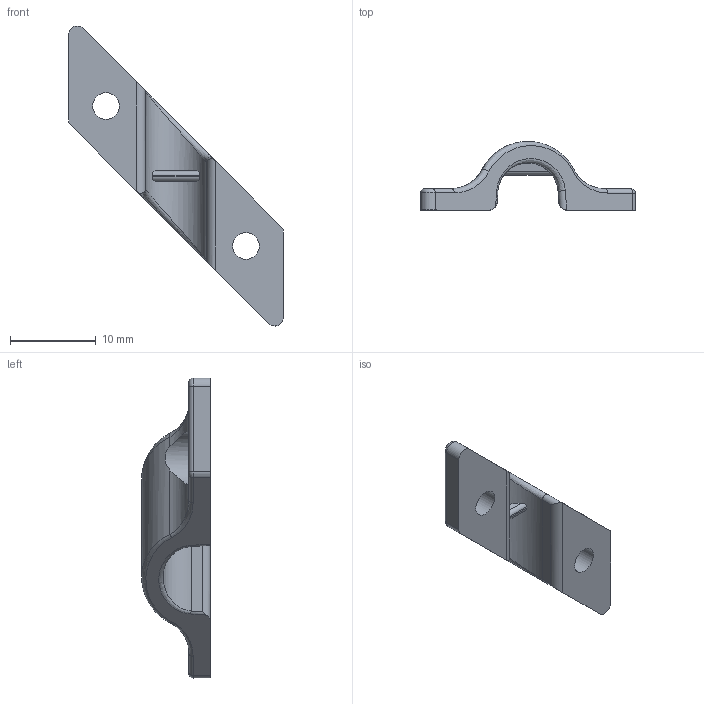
import cadquery as cq
import math


HALF_LENGTH_X = 12.5
BAND_WIDTH = 9.0
CORNER_RADIUS = 1.0
END_OFFSET_Z = BAND_WIDTH / 2 * math.sqrt(2)

FOOT_THICKNESS = 2.5
ARCH_AXIS_Y = 2.0
CHANNEL_RADIUS = 3.5
ARCH_WALL = 2.5
ARCH_RADIUS = CHANNEL_RADIUS + ARCH_WALL
BLEND_RADIUS = 4.0
CHANNEL_DRAFT = math.radians(4)
MOUTH_RADIUS = 1.0
EDGE_RADIUS = 0.5

HOLE_SPACING = 23.0
HOLE_OFFSET = HOLE_SPACING / 2 * math.cos(math.radians(45))
HOLE_DIAMETER = 3.1
HEAD_DIAMETER = 6.2

RIB_TIP_Y = 4.1
RIB_TIP_WIDTH = 1.1
RIB_TIP_RADIUS = 0.5
RIB_DRAFT = math.radians(5)

ARCH_TOP_Y = ARCH_AXIS_Y + ARCH_RADIUS

WALL_X = CHANNEL_RADIUS * math.cos(CHANNEL_DRAFT)
WALL_Y = ARCH_AXIS_Y + CHANNEL_RADIUS * math.sin(CHANNEL_DRAFT)
MOUTH_X = WALL_X + WALL_Y * math.tan(CHANNEL_DRAFT)

HALF_EXTRUSION = 2 * HALF_LENGTH_X
PICK_MARGIN = 1.0
SIDES = (-1, 1)


def arch_section():
    """Closed XY section of the feet and the arch."""
    blend_y = FOOT_THICKNESS + BLEND_RADIUS
    centre_gap = ARCH_RADIUS + BLEND_RADIUS
    blend_x = math.sqrt(centre_gap**2 - (blend_y - ARCH_AXIS_Y) ** 2)
    blend_angle = math.atan2(blend_y - ARCH_AXIS_Y, blend_x)
    join_x = ARCH_RADIUS * math.cos(blend_angle)
    join_y = ARCH_AXIS_Y + ARCH_RADIUS * math.sin(blend_angle)

    mid_angle = (math.pi / 2 + blend_angle) / 2
    mid_x = blend_x - BLEND_RADIUS * math.cos(mid_angle)
    mid_y = blend_y - BLEND_RADIUS * math.sin(mid_angle)

    return (
        cq.Workplane("XY")
        .moveTo(-HALF_LENGTH_X, 0)
        .lineTo(-HALF_LENGTH_X, FOOT_THICKNESS)
        .lineTo(-blend_x, FOOT_THICKNESS)
        .threePointArc((-mid_x, mid_y), (-join_x, join_y))
        .threePointArc((0, ARCH_TOP_Y), (join_x, join_y))
        .threePointArc((mid_x, mid_y), (blend_x, FOOT_THICKNESS))
        .lineTo(HALF_LENGTH_X, FOOT_THICKNESS)
        .lineTo(HALF_LENGTH_X, 0)
        .lineTo(MOUTH_X, 0)
        .lineTo(WALL_X, WALL_Y)
        .threePointArc((0, ARCH_AXIS_Y + CHANNEL_RADIUS), (-WALL_X, WALL_Y))
        .lineTo(-MOUTH_X, 0)
        .close()
    )


def channel_end_selector(side):
    """Box around the middle of the curved channel edge at the upper (1) or lower (-1) end."""
    return cq.selectors.BoxSelector(
        (-PICK_MARGIN, ARCH_AXIS_Y, side * END_OFFSET_Z - PICK_MARGIN),
        (PICK_MARGIN, ARCH_AXIS_Y + CHANNEL_RADIUS, side * END_OFFSET_Z + PICK_MARGIN),
    )


def mouth_rounding(side):
    """Sliver along the right (1) or left (-1) channel mouth edge whose removal rounds it."""
    setback = MOUTH_RADIUS * math.tan(math.radians(45) - CHANNEL_DRAFT / 2)
    foot_x = MOUTH_X + setback
    touch_x = foot_x - MOUTH_RADIUS * math.cos(CHANNEL_DRAFT)
    touch_y = MOUTH_RADIUS * (1 - math.sin(CHANNEL_DRAFT))
    mid_angle = math.radians(45) + CHANNEL_DRAFT / 2
    mid_x = foot_x - MOUTH_RADIUS * math.cos(mid_angle)
    mid_y = MOUTH_RADIUS * (1 - math.sin(mid_angle))
    return (
        cq.Workplane("XY")
        .moveTo(side * foot_x, 0)
        .threePointArc((side * mid_x, mid_y), (side * touch_x, touch_y))
        .lineTo(side * MOUTH_X, 0)
        .close()
        .extrude(HALF_EXTRUSION, both=True)
    )


def arch_body():
    """Arch and feet trimmed to the outline, with outer and channel end edges rounded."""
    body = arch_section().extrude(HALF_EXTRUSION, both=True)
    outline = (
        cq.Workplane("XZ")
        .polyline([
            (-HALF_LENGTH_X, HALF_LENGTH_X + END_OFFSET_Z),
            (-HALF_LENGTH_X, HALF_LENGTH_X - END_OFFSET_Z),
            (HALF_LENGTH_X, -HALF_LENGTH_X - END_OFFSET_Z),
            (HALF_LENGTH_X, -HALF_LENGTH_X + END_OFFSET_Z),
        ])
        .close()
        .extrude(-ARCH_TOP_Y)
        .edges("|Y")
        .fillet(CORNER_RADIUS)
    )
    body = body.intersect(outline)

    outer_edge = cq.selectors.NearestToPointSelector((-HALF_LENGTH_X, FOOT_THICKNESS, HALF_LENGTH_X))
    body = body.edges(outer_edge).fillet(EDGE_RADIUS)
    for side in SIDES:
        body = body.edges(channel_end_selector(side)).fillet(EDGE_RADIUS)
    return body


def rib():
    """Drafted rib with a rounded tip, reaching from the arch wall into the channel."""
    root_radius = CHANNEL_RADIUS + ARCH_WALL / 2
    root_y = ARCH_AXIS_Y + root_radius
    root_half = RIB_TIP_WIDTH / 2 + (root_y - RIB_TIP_Y) * math.tan(RIB_DRAFT)
    blank = (
        cq.Workplane("YZ")
        .polyline([
            (RIB_TIP_Y, -RIB_TIP_WIDTH / 2),
            (RIB_TIP_Y, RIB_TIP_WIDTH / 2),
            (root_y, root_half),
            (root_y, -root_half),
        ])
        .close()
        .extrude(root_radius, both=True)
        .edges("<Y")
        .fillet(RIB_TIP_RADIUS)
    )
    inside_arch = (
        cq.Workplane("XY")
        .center(0, ARCH_AXIS_Y)
        .circle(root_radius)
        .extrude(root_half, both=True)
    )
    return blank.intersect(inside_arch)


def cylinder_along_y(x, z, diameter, start_y, end_y):
    """Cylinder square to the mounting face, from start_y to end_y."""
    return (
        cq.Workplane("XZ", origin=(x, start_y, z))
        .circle(diameter / 2)
        .extrude(start_y - end_y)
    )


result = arch_body().union(rib())
for side in SIDES:
    result = result.cut(mouth_rounding(side))
for side in SIDES:
    hole_x = side * HOLE_OFFSET
    hole_z = -side * HOLE_OFFSET
    result = result.cut(cylinder_along_y(hole_x, hole_z, HOLE_DIAMETER, 0, FOOT_THICKNESS))
    result = result.cut(cylinder_along_y(hole_x, hole_z, HEAD_DIAMETER, FOOT_THICKNESS, ARCH_TOP_Y))